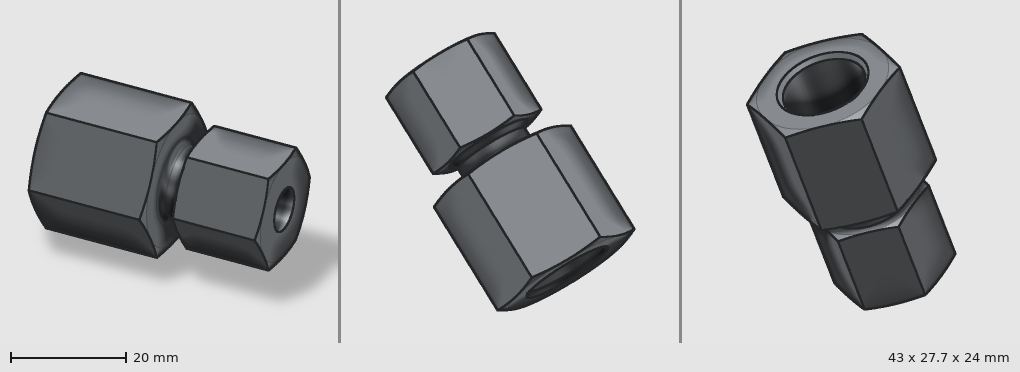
import cadquery as cq
import math

TOTAL_LENGTH = 43.0
BODY_FLATS = 24.0
BODY_LENGTH = 22.3
NUT_FLATS = 19.0
NUT_LENGTH = 16.5
NUT_START = TOTAL_LENGTH - NUT_LENGTH
HEX_CHAMFER_ANGLE = 15.0

NECK_DIAMETER = 13.6
NECK_FILLET = 1.2
COLLAR_DIAMETER = 15.8
COLLAR_LENGTH = (COLLAR_DIAMETER - NECK_DIAMETER) / 2

THROUGH_DIAMETER = 8.0
SOCKET_DIAMETER = 14.95
SOCKET_DEPTH = 17.0
SOCKET_MOUTH_DIAMETER = 16.66
MOUTH_CHAMFER = (SOCKET_MOUTH_DIAMETER - SOCKET_DIAMETER) / 2


def revolve_about_x(profile):
    """Turn a closed half profile, drawn in the XY plane, about the X axis."""
    return profile.close().revolve(360, (0, 0, 0), (1, 0, 0))


def chamfered_hexagon(start, length, flats):
    """Hexagonal prism with flats facing +Z and -Z and turned corners at both ends."""
    corners = flats / math.cos(math.radians(30))
    corner_radius = corners / 2
    flat_radius = flats / 2
    rise = (corner_radius - flat_radius) * math.tan(math.radians(HEX_CHAMFER_ANGLE))
    end = start + length

    prism = cq.Workplane("YZ", origin=(start, 0, 0)).polygon(6, corners).extrude(length)
    envelope = revolve_about_x(
        cq.Workplane("XY")
        .moveTo(start, 0)
        .lineTo(start, flat_radius)
        .lineTo(start + rise, corner_radius)
        .lineTo(end - rise, corner_radius)
        .lineTo(end, flat_radius)
        .lineTo(end, 0)
    )
    return prism.intersect(envelope)


def neck():
    """Round neck, filleted into the body and flared into the nut."""
    neck_radius = NECK_DIAMETER / 2
    fillet_offset = NECK_FILLET * (1 - math.sqrt(0.5))
    return revolve_about_x(
        cq.Workplane("XY")
        .moveTo(BODY_LENGTH, 0)
        .lineTo(BODY_LENGTH, neck_radius + NECK_FILLET)
        .threePointArc(
            (BODY_LENGTH + fillet_offset, neck_radius + fillet_offset),
            (BODY_LENGTH + NECK_FILLET, neck_radius),
        )
        .lineTo(NUT_START - COLLAR_LENGTH, neck_radius)
        .lineTo(NUT_START, COLLAR_DIAMETER / 2)
        .lineTo(NUT_START, 0)
    )


def bore():
    """Stepped bore: chamfered socket at the body end, then a plain through hole."""
    socket_radius = SOCKET_DIAMETER / 2
    through_radius = THROUGH_DIAMETER / 2
    return revolve_about_x(
        cq.Workplane("XY")
        .moveTo(0, 0)
        .lineTo(0, SOCKET_MOUTH_DIAMETER / 2)
        .lineTo(MOUTH_CHAMFER, socket_radius)
        .lineTo(SOCKET_DEPTH, socket_radius)
        .lineTo(SOCKET_DEPTH, through_radius)
        .lineTo(TOTAL_LENGTH, through_radius)
        .lineTo(TOTAL_LENGTH, 0)
    )


body = chamfered_hexagon(0, BODY_LENGTH, BODY_FLATS)
nut = chamfered_hexagon(NUT_START, NUT_LENGTH, NUT_FLATS)
result = body.union(neck()).union(nut).cut(bore())